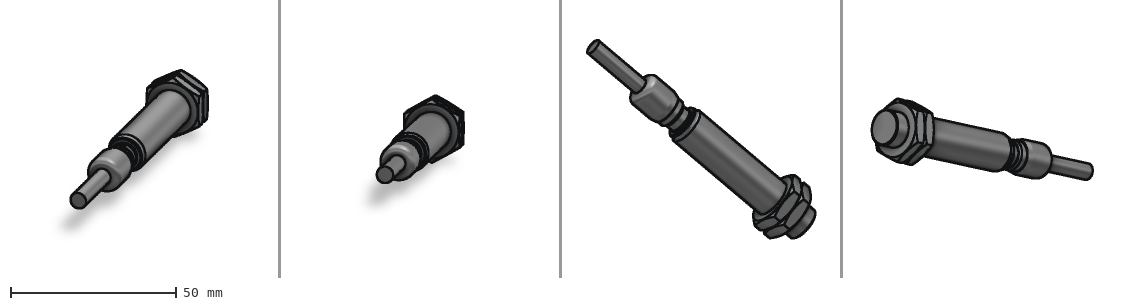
import cadquery as cq
import math


face_diameter = 11.0
face_chamfer = 0.3
body_diameter = 12.0
body_end = 49.6

nut_start = 5.0
nut_thickness = 4.0
nut_count = 2
hex_sides = 6
nut_across_flats = 17.0
nut_bevel_diameter = 16.7
nut_bevel_angle = 30.0

ring_diameter = 11.0
ring_end = 51.75
ring_bevel_length = 0.6
ring_bevel_depth = 0.3
ring_root_fillet = 0.45

neck_diameter = 7.9
neck_shoulder_diameter = 8.3
neck_shoulder_end = 52.05
neck_taper = 0.2
neck_end = 54.9

lamp_station = 53.4
lamp_well_diameter = 1.9
lamp_dome_diameter = 1.8
lamp_top = 4.05

collar_diameter = 9.5
collar_taper = 0.8
collar_lead_in_length = 0.55
collar_lead_in_depth = 0.03

grip_start = 57.9
grip_start_diameter = 10.0
grip_full = 60.0
grip_diameter = 11.0
grip_end = 69.2
grip_rounding = 2.0

cable_diameter = 5.1
cable_end = 89.2


def turned_body():
    """Revolve the whole stepped profile about the Y axis."""
    face_r = face_diameter / 2
    body_r = body_diameter / 2
    ring_r = ring_diameter / 2
    neck_r = neck_diameter / 2
    collar_r = collar_diameter / 2
    grip_r = grip_diameter / 2
    cable_r = cable_diameter / 2
    shoulder_r = neck_shoulder_diameter / 2
    ring_start = body_end + ring_root_fillet
    collar_taper_end = neck_end + collar_taper
    sin_45 = math.sin(math.radians(45))
    root_mid = ring_root_fillet * sin_45
    round_mid = grip_rounding * sin_45
    profile = (
        cq.Workplane("XY")
        .moveTo(0, 0)
        .lineTo(face_r - face_chamfer, 0)
        .lineTo(face_r, -face_chamfer)
        .lineTo(face_r, -nut_start)
        .lineTo(body_r, -nut_start)
        .lineTo(body_r, -body_end)
        .lineTo(ring_r + ring_root_fillet, -body_end)
        .threePointArc(
            (ring_r + ring_root_fillet - root_mid, -(ring_start - root_mid)),
            (ring_r, -ring_start),
        )
        .lineTo(ring_r, -(ring_end - ring_bevel_length))
        .lineTo(ring_r - ring_bevel_depth, -ring_end)
        .lineTo(shoulder_r, -ring_end)
        .lineTo(shoulder_r, -neck_shoulder_end)
        .lineTo(neck_r, -(neck_shoulder_end + neck_taper))
        .lineTo(neck_r, -neck_end)
        .lineTo(shoulder_r, -neck_end)
        .lineTo(collar_r - collar_lead_in_depth, -collar_taper_end)
        .lineTo(collar_r, -(collar_taper_end + collar_lead_in_length))
        .lineTo(collar_r, -grip_start)
        .lineTo(grip_start_diameter / 2, -grip_start)
        .lineTo(grip_r, -grip_full)
        .lineTo(grip_r, -(grip_end - grip_rounding))
        .threePointArc(
            (grip_r - grip_rounding + round_mid, -(grip_end - grip_rounding + round_mid)),
            (grip_r - grip_rounding, -grip_end),
        )
        .lineTo(cable_r, -grip_end)
        .lineTo(cable_r, -cable_end)
        .lineTo(0, -cable_end)
        .close()
    )
    return profile.revolve(360, (0, 0, 0), (0, 1, 0))


def lock_nut(start):
    """Hexagon nut with corners up and down, bevelled on both faces."""
    corner_r = nut_across_flats / math.sqrt(3)
    corner_turn = 180 / hex_sides
    bevel_r = nut_bevel_diameter / 2
    bevel_depth = (corner_r - bevel_r) * math.tan(math.radians(nut_bevel_angle))
    end = start + nut_thickness
    hexagon = (
        cq.Workplane("XZ", origin=(0, -start, 0))
        .polygon(hex_sides, 2 * corner_r)
        .extrude(nut_thickness)
        .rotate((0, 0, 0), (0, 1, 0), corner_turn)
    )
    bevel_envelope = (
        cq.Workplane("XY")
        .moveTo(0, -start)
        .lineTo(bevel_r, -start)
        .lineTo(corner_r, -(start + bevel_depth))
        .lineTo(corner_r, -(end - bevel_depth))
        .lineTo(bevel_r, -end)
        .lineTo(0, -end)
        .close()
        .revolve(360, (0, 0, 0), (0, 1, 0))
    )
    return hexagon.intersect(bevel_envelope)


def add_lamp(part):
    """Sink a round well into the top of the neck and stand a domed lamp on its floor."""
    dome_r = lamp_dome_diameter / 2
    floor = cq.Workplane("XY", origin=(0, -lamp_station, lamp_top - dome_r))
    well = floor.circle(lamp_well_diameter / 2).extrude(neck_diameter / 2)
    dome = floor.sphere(dome_r)
    return part.cut(well).union(dome)


result = add_lamp(turned_body())
for index in range(nut_count):
    result = result.union(lock_nut(nut_start + index * nut_thickness))